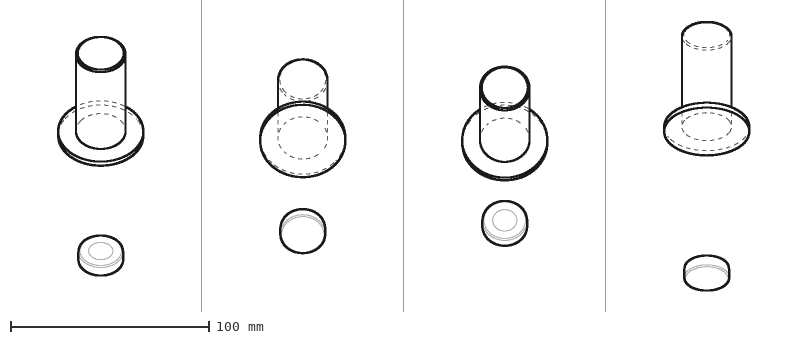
import cadquery as cq

overall_height = 149.0
top_z = overall_height / 2
bottom_z = -overall_height / 2

pin_diameter = 25.0
pin_total_height = 59.0
pin_chamfer = 0.9
flange_diameter = 43.0
flange_thickness = 3.0

button_height = 7.3
button_top_radius = 11.2
button_bottom_radius = 11.3
button_bulge_radius = 11.5
button_rim_radius = 0.7
button_flat_radius = 6.1
button_dish_depth = 0.3
button_dome_rise = 0.5


def make_flanged_pin():
    """Round pin with a chamfered top, standing on a thin flange."""
    flange_bottom_z = top_z - pin_total_height
    flange = (
        cq.Workplane("XY", origin=(0, 0, flange_bottom_z))
        .circle(flange_diameter / 2)
        .extrude(flange_thickness)
    )
    shank = (
        cq.Workplane("XY", origin=(0, 0, flange_bottom_z))
        .circle(pin_diameter / 2)
        .extrude(pin_total_height)
        .faces(">Z")
        .chamfer(pin_chamfer)
    )
    return flange.union(shank)


def make_button():
    """Disc with a bulging wall, rounded rims, a domed base and a conical dish with a flat floor."""
    button_top_z = bottom_z + button_height
    dome_edge_z = bottom_z + button_dome_rise
    dome_radius = (button_bottom_radius**2 + button_dome_rise**2) / (2 * button_dome_rise)
    dish_floor_z = button_top_z - button_dish_depth
    disc = (
        cq.Workplane("XZ")
        .moveTo(0, bottom_z)
        .radiusArc((button_bottom_radius, dome_edge_z), -dome_radius)
        .threePointArc(
            (button_bulge_radius, (dome_edge_z + button_top_z) / 2),
            (button_top_radius, button_top_z),
        )
        .lineTo(button_flat_radius, dish_floor_z)
        .lineTo(0, dish_floor_z)
        .close()
        .revolve(360, (0, 0, 0), (0, 1, 0))
    )
    rims = disc.edges("%CIRCLE").filter(lambda edge: edge.radius() > button_flat_radius + button_rim_radius)
    return disc.newObject(rims.vals()).fillet(button_rim_radius)


flanged_pin = make_flanged_pin()
button = make_button()

result = cq.Compound.makeCompound([flanged_pin.val(), button.val()])